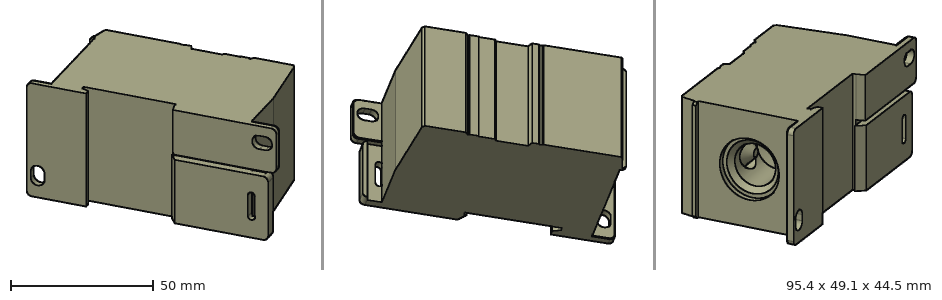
import cadquery as cq
import math

length = 95.4
depth = 49.1
height = 44.5

body_left = 8.4
body_right = 84.9
foot_thickness = 2.6
corner_radius = 2.0
left_foot_rise = 0.3
right_foot_rise = 0.5
rise_inset = 0.3
right_foot_bottom = 27.0

root_overlap = 1.0

right_slope_start_y = 21.9
right_slope_end = (81.95, 48.2)
top_right = 81.1
left_slope_start_x = 7.9
left_slope_end = (9.2, 48.7)
top_left = 9.8

recess_low_y = 47.1
recess_step_y = 48.0
recess_left = 42.2
recess_floor_left = 43.1
recess_floor_right = 54.7
recess_step_left = 55.4
recess_step_right = 65.2
recess_right = 66.3
strip_left = 61.2
strip_right = 64.7
strip_height = 0.3

dip_left = 38.0
dip_right = 39.7
dip_depth = 0.3
dip_slope = 0.4

notch_left = 19.8
notch_right = 55.0
notch_depth = 4.6
notch_shoulder = 3.3
hook_lip_x = 22.7
hook_lip_y = 2.1
right_lip_x = 55.9

clip_height = 25.0
clip_end = 92.25
clip_thickness = 3.1
clip_hook_tip = 54.1
clip_hook_base = 56.6
clip_lip_start = 90.1
clip_lip_top_start = 90.5
clip_corner_radius = 1.9

slot_width = 5.2
slot_length = 7.6
left_slot_x = 4.2
left_slot_z = 8.6
right_slot_x = 90.0
right_slot_z = 38.1
tool_slot_width = 2.7
tool_slot_length = 10.8
tool_slot_x = 85.9
tool_slot_z = 12.4

ridge_low = 41.8
ridge_high = 43.1
ridge_tip = 6.4
ridge_end_chamfer = 1.05

entry_y = 21.7
entry_z = height / 2
entry_recess_diameter = 23.5
entry_recess_depth = 2.4
funnel_diameter = 20.3
bore_diameter = 16.1
bore_length = 17.2
drill_tip_angle = 150.0

screw_offset = 9.7
screw_diameter = 11.8
screw_tip_diameter = 3.4
screw_tip_y = 26.3


def extrude_along_z(points, bottom, top):
    return cq.Workplane("XY").workplane(offset=bottom).polyline(points).close().extrude(top - bottom)


def box(x0, x1, y0, y1, z0, z1):
    return cq.Workplane("XY").box(x1 - x0, y1 - y0, z1 - z0, centered=False).translate((x0, y0, z0))


def slot_along_y(x, z, slot_size, width, angle):
    return cq.Workplane("XZ").center(x, z).slot2D(slot_size, width, angle).extrude(-notch_shoulder)


def housing():
    outline = [
        (body_left, 0),
        (hook_lip_x, 0),
        (hook_lip_x, hook_lip_y),
        (notch_left, notch_shoulder),
        (notch_left, notch_depth),
        (notch_right, notch_depth),
        (notch_right, notch_shoulder),
        (right_lip_x, 0),
        (body_right, 0),
        (body_right, right_slope_start_y),
        right_slope_end,
        (top_right, depth),
        (recess_right, depth),
        (recess_step_right, recess_step_y),
        (strip_right, recess_step_y),
        (strip_right, recess_step_y + strip_height),
        (strip_left, recess_step_y + strip_height),
        (strip_left, recess_step_y),
        (recess_step_left, recess_step_y),
        (recess_floor_right, recess_low_y),
        (recess_floor_left, recess_low_y),
        (recess_left, depth),
        (dip_right, depth),
        (dip_right - dip_slope, depth - dip_depth),
        (dip_left + dip_slope, depth - dip_depth),
        (dip_left, depth),
        (top_left, depth),
        left_slope_end,
        (left_slope_start_x, ridge_high),
        (body_left, ridge_low),
    ]
    return extrude_along_z(outline, 0, height)


def foot(x0, x1, bottom, rise, outer_edges):
    plate = box(x0, x1, 0, foot_thickness, bottom, height)
    plate = plate.edges("|Y").edges(outer_edges).fillet(corner_radius)
    face_left = x0 + rise_inset
    face_right = x1 - rise_inset
    face_top = height - rise_inset
    face = box(face_left, face_right, 0, foot_thickness + rise, bottom + rise_inset, face_top)
    face = face.edges("|Y").edges(outer_edges).fillet(corner_radius)
    return plate.union(face)


def clip_pocket():
    return box(notch_right, length, 0, notch_shoulder, 0, right_foot_bottom)


def clip():
    outline = [
        (clip_hook_base, 0),
        (clip_hook_tip, notch_shoulder),
        (body_right, notch_shoulder),
        (body_right, clip_thickness),
        (clip_lip_start, clip_thickness),
        (clip_lip_top_start, notch_depth),
        (clip_end, notch_depth),
        (clip_end, 0),
    ]
    plate = extrude_along_z(outline, 0, clip_height)
    return plate.edges("|Y").edges(">X").fillet(clip_corner_radius)


def ridge():
    bar = box(ridge_tip, body_left + root_overlap, ridge_low, ridge_high, 0, height)
    return bar.edges("|Y").edges("<X").chamfer(ridge_end_chamfer)


def cable_entry():
    recess_floor = body_left + entry_recess_depth
    bore_radius = bore_diameter / 2
    funnel_radius = funnel_diameter / 2
    bore_start = recess_floor + funnel_radius - bore_radius
    bore_end = bore_start + bore_length
    tip_end = bore_end + bore_radius / math.tan(math.radians(drill_tip_angle / 2))
    half_section = [
        (body_left, 0),
        (body_left, entry_recess_diameter / 2),
        (recess_floor, entry_recess_diameter / 2),
        (recess_floor, funnel_radius),
        (bore_start, bore_radius),
        (bore_end, bore_radius),
        (tip_end, 0),
    ]
    entry = cq.Workplane("XY").polyline(half_section).close().revolve(360, (0, 0), (1, 0))
    return entry.translate((0, entry_y, entry_z)), bore_start


def screw_opening(screw_x):
    taper_length = (screw_diameter - screw_tip_diameter) / 2
    start = cq.Workplane("XZ", origin=(screw_x, screw_tip_y, entry_z))
    opening = start.circle(screw_diameter / 2).extrude(-taper_length)
    tip = start.circle(screw_tip_diameter / 2).extrude(-taper_length, taper=-45)
    return opening, tip


left_foot = foot(0, body_left + root_overlap, 0, left_foot_rise, "<X")
right_foot = foot(body_right - root_overlap, length, right_foot_bottom, right_foot_rise, ">X")
entry, bore_start = cable_entry()
opening, tip = screw_opening(bore_start + screw_offset)

part = housing().cut(clip_pocket()).union(left_foot).union(right_foot)
part = part.union(clip()).union(ridge())
part = part.cut(entry).cut(opening).union(tip)

slots = [
    (left_slot_x, left_slot_z, slot_length, slot_width, 90),
    (right_slot_x, right_slot_z, slot_length, slot_width, 0),
    (tool_slot_x, tool_slot_z, tool_slot_length, tool_slot_width, 90),
]
for x, z, slot_size, width, angle in slots:
    part = part.cut(slot_along_y(x, z, slot_size, width, angle))

result = part